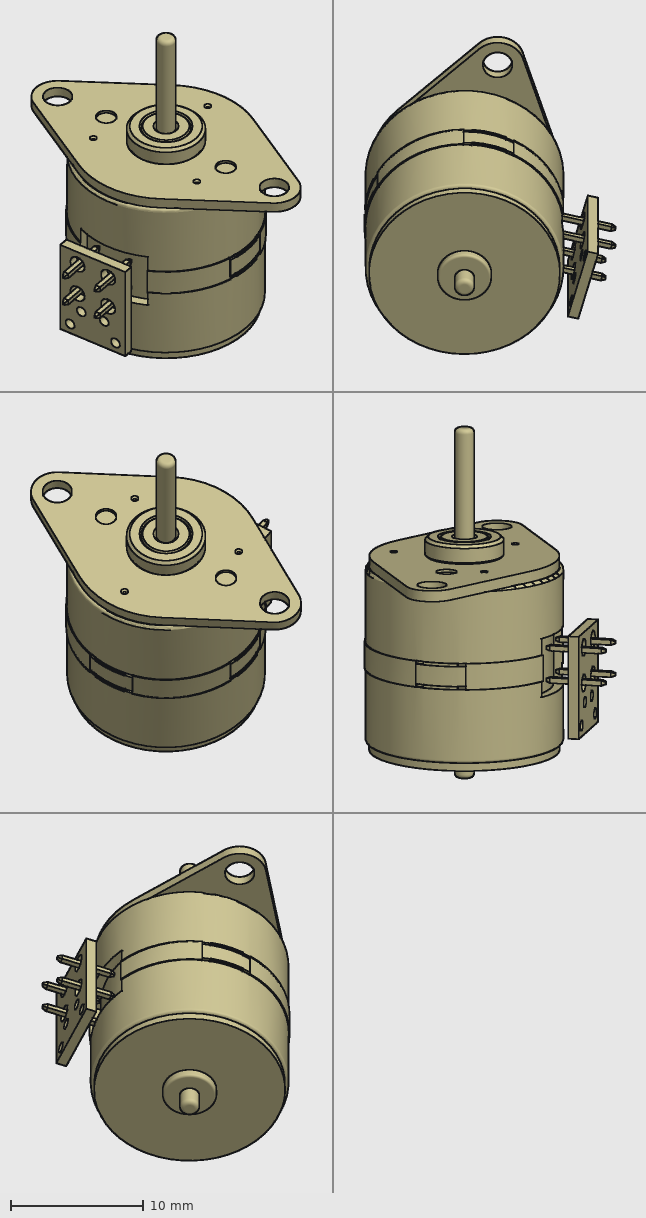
import cadquery as cq
import math


shaft_diameter = 1.5
shaft_radius = shaft_diameter / 2
shaft_length = 27.18
shaft_end_fillet = 0.35

can_radius = 7.5
can_bottom = 2.8
can_top = 16.4
can_edge_fillet = 0.25
band_radius = 7.58
band_bottom = 8.55
band_top = 10.6
cutter_reach = band_radius + 0.27
base_radius = 7.23
base_bottom = 2.17

window_width = 3.91
window_angles = (0, 90, 180)
strip_height = 0.25
pad_radius = 7.53
strip_floor_radius = 7.3
tab_width = 2.66

recess_width = 6.2
recess_bottom = 7.3
recess_top = 11.88
recess_floor_radius = 6.75

flange_thickness = 0.85
flange_top = can_top + flange_thickness
flange_radius = 7.2
flange_length = 24.0
ear_offset = 10.0
ear_radius = flange_length / 2 - ear_offset
mount_hole_radius = 1.11
dimple_pitch_radius = 5.52
dimple_radius = 0.8
dimple_depth = 0.22
pilot_mouth_radius = 0.27
pilot_floor_radius = 0.1
pilot_depth = 0.14
pilot_angles = (90, 210, 330)

boss_radius = 3.0
boss_top = 18.73
boss_top_chamfer = 0.25
boss_bottom_chamfer = 0.14
groove_outer_radius = 2.0
groove_inner_radius = 1.77
groove_bottom_radius = (groove_outer_radius + groove_inner_radius) / 2
groove_depth = 0.14
bore_mouth_radius = 0.95
bore_mouth_depth = 0.2
rear_boss_radius = 2.05
rear_boss_bottom = 1.52
rear_boss_fillet = 0.2

board_width = 6.0
board_thickness = 0.82
board_bottom = 4.19
board_top = 12.15
board_back = -8.85
pin_hole_radius = 0.65
pin_hole_x = 1.4
pin_hole_heights = (8.2, 10.98)
small_hole_radius = 0.4
inner_hole_x = 1.05
inner_hole_height = 6.65
outer_hole_x = 2.1
outer_hole_height = 5.05

pin_size = 0.4
pin_tip_size = 0.2
pin_tip_length = 0.33
pin_x = 1.47
pin_heights = (8.32, 10.82)
pin_inner_end = -6.77
pin_outer_end = -11.42


def disc(radius, bottom, top):
    """Upright cylinder on the motor axis."""
    return cq.Workplane("XY").workplane(offset=bottom).circle(radius).extrude(top - bottom)


def block(width, y_min, y_max, bottom, top):
    """Box centred on X = 0."""
    return (
        cq.Workplane("XY")
        .box(width, y_max - y_min, top - bottom, centered=(True, False, False))
        .translate((0, y_min, bottom))
    )


def revolved(profile):
    """Solid of revolution about the motor axis from (radius, height) corners."""
    return cq.Workplane("XZ").polyline(profile).close().revolve(360, (0, 0, 0), (0, 1, 0))


def make_shaft():
    return disc(shaft_radius, 0, shaft_length).faces("<Z or >Z").edges().fillet(shaft_end_fillet)


def make_band_window(angle):
    """Cutter for one window: shallow over the pad, deeper in the strips, leaving a tab in each strip."""
    slab = block(window_width, 0, cutter_reach, band_bottom, band_top)
    pad = disc(pad_radius, band_bottom + strip_height, band_top - strip_height)
    tab = block(tab_width, 0, cutter_reach, band_bottom, band_top).cut(
        disc(cutter_reach, band_bottom + strip_height, band_top - strip_height)
    )
    core = disc(strip_floor_radius, band_bottom, band_top)
    window = slab.cut(pad).cut(tab).cut(core)
    return window.rotate((0, 0, 0), (0, 0, 1), angle - 90)


def make_can():
    can = disc(can_radius, can_bottom, can_top).faces("<Z or >Z").edges().fillet(can_edge_fillet)
    can = can.union(disc(band_radius, band_bottom, band_top))
    for angle in window_angles:
        can = can.cut(make_band_window(angle))
    recess = block(recess_width, -cutter_reach, 0, recess_bottom, recess_top)
    recess = recess.cut(disc(recess_floor_radius, recess_bottom, recess_top))
    return can.cut(recess).union(disc(base_radius, base_bottom, can_bottom))


def make_flange():
    """Plate outlined by a middle arc, two ear arcs and their common tangents."""
    tangent_sin = (flange_radius - ear_radius) / ear_offset
    tangent_cos = math.sqrt(1 - tangent_sin**2)
    middle_x = flange_radius * tangent_sin
    middle_y = flange_radius * tangent_cos
    ear_x = ear_offset + ear_radius * tangent_sin
    ear_y = ear_radius * tangent_cos
    ear_tip = flange_length / 2
    plate = (
        cq.Workplane("XY")
        .workplane(offset=can_top)
        .moveTo(-middle_x, middle_y)
        .threePointArc((0, flange_radius), (middle_x, middle_y))
        .lineTo(ear_x, ear_y)
        .threePointArc((ear_tip, 0), (ear_x, -ear_y))
        .lineTo(middle_x, -middle_y)
        .threePointArc((0, -flange_radius), (-middle_x, -middle_y))
        .lineTo(-ear_x, -ear_y)
        .threePointArc((-ear_tip, 0), (-ear_x, ear_y))
        .close()
        .extrude(flange_thickness)
    )
    top = plate.faces(">Z").workplane(origin=(0, 0, flange_top))
    plate = top.pushPoints([(-ear_offset, 0), (ear_offset, 0)]).circle(mount_hole_radius).cutThruAll()
    for x in (-dimple_pitch_radius, dimple_pitch_radius):
        plate = plate.cut(disc(dimple_radius, flange_top - dimple_depth, flange_top).translate((x, 0, 0)))
    pilot = revolved(
        [
            (0, flange_top),
            (pilot_mouth_radius, flange_top),
            (pilot_floor_radius, flange_top - pilot_depth),
            (0, flange_top - pilot_depth),
        ]
    ).translate((dimple_pitch_radius, 0, 0))
    for angle in pilot_angles:
        plate = plate.cut(pilot.rotate((0, 0, 0), (0, 0, 1), angle))
    return plate


def make_front_boss():
    boss = disc(boss_radius, flange_top, boss_top)
    boss = boss.faces(">Z").edges().chamfer(boss_top_chamfer)
    boss = boss.faces("<Z").edges().chamfer(boss_bottom_chamfer)
    groove = revolved(
        [
            (groove_outer_radius, boss_top),
            (groove_bottom_radius, boss_top - groove_depth),
            (groove_inner_radius, boss_top),
        ]
    )
    bore_mouth = revolved(
        [
            (0, boss_top),
            (bore_mouth_radius, boss_top),
            (shaft_radius, boss_top - bore_mouth_depth),
            (0, boss_top - bore_mouth_depth),
        ]
    )
    return boss.cut(groove).cut(bore_mouth)


def make_rear_boss():
    return disc(rear_boss_radius, rear_boss_bottom, base_bottom).faces("<Z").edges().fillet(rear_boss_fillet)


def make_housing():
    """Can, flange and bosses in one piece, bored for the shaft."""
    housing = make_can().union(make_flange()).union(make_front_boss()).union(make_rear_boss())
    return housing.cut(disc(shaft_radius, 0, shaft_length))


def make_board():
    pin_holes = [(x, z) for x in (-pin_hole_x, pin_hole_x) for z in pin_hole_heights]
    small_holes = [
        (side * x, z)
        for side in (-1, 1)
        for x, z in ((inner_hole_x, inner_hole_height), (outer_hole_x, outer_hole_height))
    ]
    board = block(board_width, board_back - board_thickness, board_back, board_bottom, board_top)
    drilling = cq.Workplane("XZ", origin=(0, board_back, 0))
    board = board.cut(drilling.pushPoints(pin_holes).circle(pin_hole_radius).extrude(board_thickness))
    return board.cut(drilling.pushPoints(small_holes).circle(small_hole_radius).extrude(board_thickness))


def make_pin_tip(base_y, direction):
    """Pyramid frustum that narrows away from base_y along +Y or -Y."""
    return (
        cq.Workplane("XZ", origin=(0, base_y, 0))
        .rect(pin_size, pin_size)
        .workplane(offset=-direction * pin_tip_length)
        .rect(pin_tip_size, pin_tip_size)
        .loft(combine=True)
    )


def make_pin(x, height):
    """Square pin along Y, tapered at both ends."""
    shank_inner = pin_inner_end - pin_tip_length
    shank_outer = pin_outer_end + pin_tip_length
    shank = block(pin_size, shank_outer, shank_inner, -pin_size / 2, pin_size / 2)
    pin = shank.union(make_pin_tip(shank_inner, 1)).union(make_pin_tip(shank_outer, -1))
    return pin.translate((x, 0, height))


shaft = make_shaft()
housing = make_housing()
board = make_board()
pins = [make_pin(x, height) for x in (-pin_x, pin_x) for height in pin_heights]

result = cq.Compound.makeCompound([shaft.val(), housing.val(), board.val(), *[pin.val() for pin in pins]])